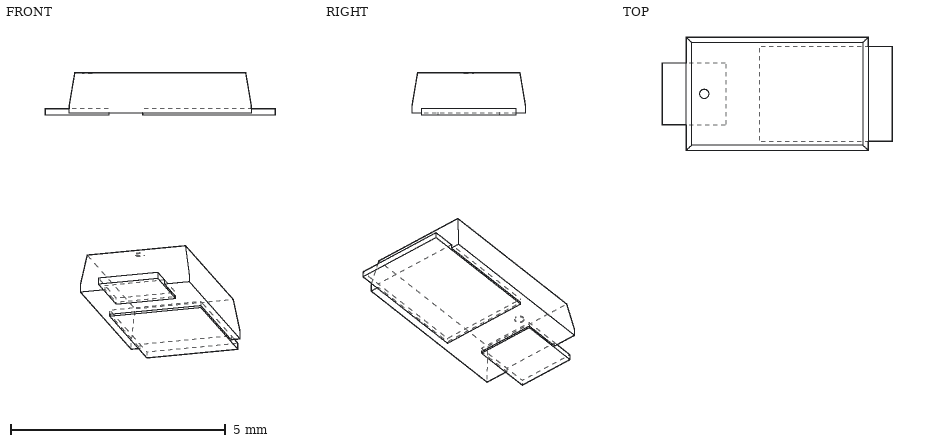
import cadquery as cq

total_length = 5.36
total_height = 0.99

housing_length = 4.24
housing_width = 2.64
housing_bottom = 0.05
taper_start = 0.23
taper_inset = 0.13

lead_thickness = 0.15
narrow_lead_length = 1.49
narrow_lead_width = 1.44
wide_lead_length = 3.095
wide_lead_width = 2.21

mark_diameter = 0.215
mark_depth = 0.02
mark_from_end = 0.98
mark_x = -total_length / 2 + mark_from_end


def make_lead(length, width, side):
    """Flat lead reaching inward from the -X end (side = -1) or the +X end (side = 1)."""
    center_x = side * (total_length - length) / 2
    return (
        cq.Workplane("XY")
        .center(center_x, 0)
        .box(length, width, lead_thickness, centered=(True, True, False))
    )


def make_mark():
    """Thin disc that fills a recess in the housing top."""
    return (
        cq.Workplane("XY", origin=(mark_x, 0, total_height - mark_depth))
        .circle(mark_diameter / 2)
        .extrude(mark_depth)
    )


def make_housing(inserts):
    """Housing with a matching recess for each inserted body."""
    base = (
        cq.Workplane("XY", origin=(0, 0, housing_bottom))
        .rect(housing_length, housing_width)
        .extrude(taper_start - housing_bottom)
    )
    upper = (
        cq.Workplane("XY", origin=(0, 0, taper_start))
        .rect(housing_length, housing_width)
        .workplane(offset=total_height - taper_start)
        .rect(housing_length - 2 * taper_inset, housing_width - 2 * taper_inset)
        .loft(ruled=True)
    )
    housing = base.union(upper)
    for insert in inserts:
        housing = housing.cut(insert)
    return housing


narrow_lead = make_lead(narrow_lead_length, narrow_lead_width, -1)
wide_lead = make_lead(wide_lead_length, wide_lead_width, 1)
mark = make_mark()
housing = make_housing([narrow_lead, wide_lead, mark])

result = cq.Compound.makeCompound([housing.val(), narrow_lead.val(), wide_lead.val(), mark.val()])